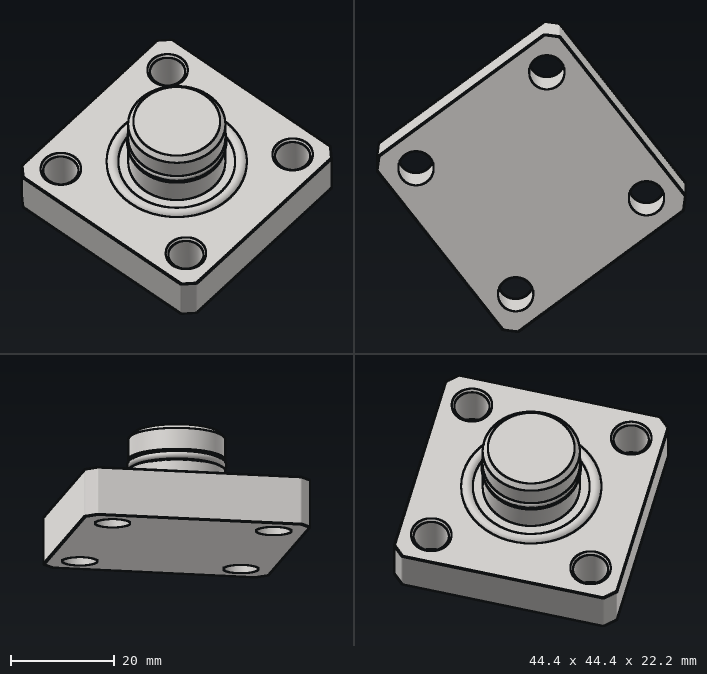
import cadquery as cq
import math

flange_width = 44.4
flange_height = 9.5
corner_cut = 2.15
corner_blend_radius = 0.55
rim_chamfer = 0.15

hole_offset = 15.85
hole_diameter = 6.8
hole_mouth_diameter = 7.8
hole_mouth_taper = 45.0

overall_height = 22.2
plug_diameter = 18.75
plug_chamfer = 1.0

groove_height = 16.0
groove_width = 2.1
plug_seal_section = 1.5
plug_seal_outer_diameter = 19.2

face_seal_section = 2.62
face_seal_mean_diameter = 24.8
face_seal_projection = 0.65


def make_flange():
    """Square plate with cut, softened corners and chamfered rims."""
    plate = cq.Workplane("XY").box(flange_width, flange_width, flange_height, centered=(True, True, False))
    plate = plate.edges("|Z").chamfer(corner_cut)
    plate = plate.edges("|Z").fillet(corner_blend_radius)
    return plate.faces("<Z or >Z").edges().chamfer(rim_chamfer)


def cut_bolt_holes(body):
    """Four through holes, countersunk at the flange top."""
    mouth_depth = (hole_mouth_diameter - hole_diameter) / 2 / math.tan(math.radians(hole_mouth_taper))
    pitch = 2 * hole_offset
    centers = cq.Workplane("XY").rect(pitch, pitch, forConstruction=True).vertices()
    body = body.cut(centers.circle(hole_diameter / 2).extrude(flange_height))
    mouth_plane = cq.Workplane("XY").workplane(offset=flange_height)
    mouths = (
        mouth_plane.rect(pitch, pitch, forConstruction=True)
        .vertices()
        .circle(hole_mouth_diameter / 2)
        .extrude(-mouth_depth, taper=hole_mouth_taper)
    )
    return body.cut(mouths)


def make_plug():
    """Chamfered plug with a groove whose floor carries the exposed half of the seal ring."""
    plug_radius = plug_diameter / 2
    seal_radius = plug_seal_section / 2
    seal_outer_radius = plug_seal_outer_diameter / 2
    floor_radius = seal_outer_radius - seal_radius
    groove_bottom = groove_height - groove_width / 2
    groove_top = groove_height + groove_width / 2
    half_profile = (
        cq.Workplane("XZ")
        .lineTo(plug_radius, 0)
        .lineTo(plug_radius, groove_bottom)
        .lineTo(floor_radius, groove_bottom)
        .lineTo(floor_radius, groove_height - seal_radius)
        .threePointArc((seal_outer_radius, groove_height), (floor_radius, groove_height + seal_radius))
        .lineTo(floor_radius, groove_top)
        .lineTo(plug_radius, groove_top)
        .lineTo(plug_radius, overall_height - plug_chamfer)
        .lineTo(plug_radius - plug_chamfer, overall_height)
        .lineTo(0, overall_height)
        .close()
    )
    return half_profile.revolve(360, (0, 0, 0), (0, 1, 0))


def make_face_seal():
    """Round-section ring about the Z axis, its crown standing proud of the flange."""
    mean_radius = face_seal_mean_diameter / 2
    center_height = flange_height + face_seal_projection - face_seal_section / 2
    section = cq.Workplane("XZ").center(mean_radius, center_height).circle(face_seal_section / 2)
    return section.revolve(360, (-mean_radius, 0, 0), (-mean_radius, 1, 0))


result = cut_bolt_holes(make_flange()).union(make_plug()).union(make_face_seal())